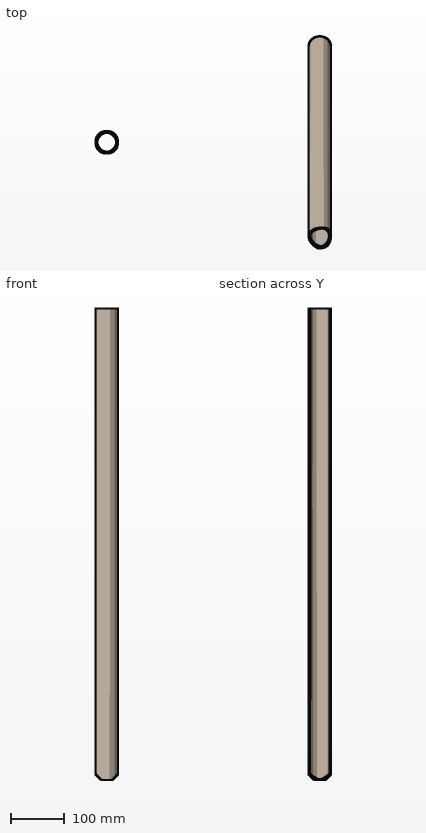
import cadquery as cq

outer_diameter = 42.2
wall_thickness = 3.6
overall_length = 878.9
saddle_axis_drop = 10.1

outer_radius = outer_diameter / 2
inner_radius = outer_radius - wall_thickness
saddle_radius = outer_radius


def make_tube():
    """Straight round tube standing on Z = 0."""
    return (
        cq.Workplane("XY")
        .circle(outer_radius)
        .circle(inner_radius)
        .extrude(overall_length)
    )


def make_saddle_cutter():
    """Cylinder along X that copes the lower end to sit on a crossing tube."""
    return (
        cq.Workplane("YZ")
        .center(0, -saddle_axis_drop)
        .circle(saddle_radius)
        .extrude(outer_diameter, both=True)
    )


result = make_tube().cut(make_saddle_cutter())